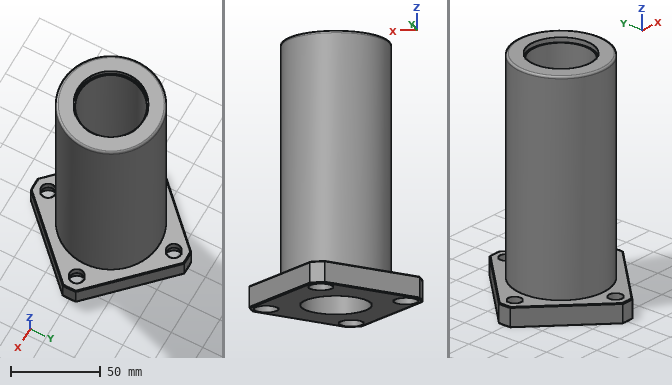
import cadquery as cq

total_height = 151.0
flange_height = 12.8
flange_side = 75.0
flange_corner_diameter = 98.0
flange_edge_chamfer = 0.6

sleeve_diameter = 62.0
sleeve_top_fillet = 1.4
bore_diameter = 40.0
recess_diameter = 42.0
recess_depth = 3.0

mount_hole_diameter = 9.0
counterbore_diameter = 14.0
counterbore_depth = 8.2
mount_circle_diameter = 80.0
mount_hole_count = 4


def make_flange():
    """Square plate turned 45 degrees, with its four corners turned to a common circle."""
    diamond = (
        cq.Workplane("XY")
        .rect(flange_side, flange_side)
        .extrude(flange_height)
        .rotate((0, 0, 0), (0, 0, 1), 45)
    )
    corner_limits = (
        cq.Workplane("XY")
        .circle(flange_corner_diameter / 2)
        .extrude(flange_height)
    )
    plate = diamond.intersect(corner_limits)
    return plate.faces("<Z or >Z").edges().chamfer(flange_edge_chamfer)


def make_sleeve():
    """Full-height cylinder with a rounded upper rim."""
    cylinder = cq.Workplane("XY").circle(sleeve_diameter / 2).extrude(total_height)
    return cylinder.faces(">Z").edges().fillet(sleeve_top_fillet)


def cut_bore(body):
    """Through bore with a shallow wider recess at the upper end."""
    bore = cq.Workplane("XY").circle(bore_diameter / 2).extrude(total_height)
    recess = (
        cq.Workplane("XY")
        .workplane(offset=total_height - recess_depth)
        .circle(recess_diameter / 2)
        .extrude(recess_depth)
    )
    return body.cut(bore).cut(recess)


def mount_cylinders(diameter, height):
    """One cylinder per mounting hole, on the X and Y axes, rising from the flange base."""
    return (
        cq.Workplane("XY")
        .polarArray(mount_circle_diameter / 2, 0, 360, mount_hole_count)
        .circle(diameter / 2)
        .extrude(height)
    )


def cut_mount_holes(body):
    """Holes through the flange, counterbored from its underside."""
    holes = mount_cylinders(mount_hole_diameter, flange_height)
    counterbores = mount_cylinders(counterbore_diameter, counterbore_depth)
    return body.cut(holes).cut(counterbores)


body = make_flange().union(make_sleeve())
body = cut_bore(body)
result = cut_mount_holes(body)